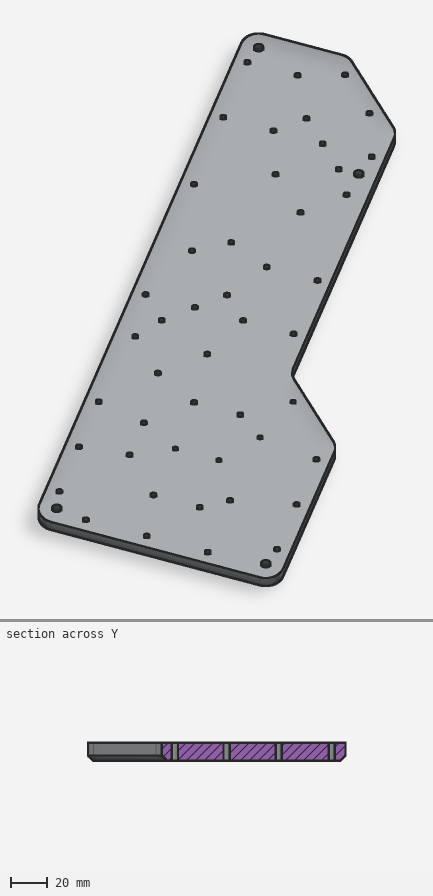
import cadquery as cq

width = 140.0
length = 360.0
thickness = 10.0
narrow_width = 100.0
step_start_y = 100.0
step_run = width - narrow_width
top_corner_cut = 41.7
corner_radius = 10.0
bottom_chamfer = 3.0

mounting_diameter = 5.2
upper_right_mount = (90.0, 284.1)
mounting_centres = [
    (corner_radius, corner_radius),
    (width - corner_radius, corner_radius),
    (corner_radius, length - corner_radius),
    upper_right_mount,
]

fixing_diameter = 3.2
edge_inset = 7.5
bottom_row_xs = (27.5, 62.5, 97.5)
side_pair_ys = (21.6, 54.6, 87.9)
left_only_ys = (167.0, 248.4, 297.75, 338.4)
inner_centres = [
    (60.6, 347.3),
    (36.3, 338.6),
    (81.75, 326.1),
    (50.6, 311.6),
    (36.3, 297.75),
    (64.6, 297.75),
    (92.75, 297.75),
    (78.6, 283.7),
    (47.25, 269.3),
    (88.4, 268.25),
    (68.7, 248.4),
    (39.8, 216.4),
    (63.6, 206.4),
    (92.8, 206.4),
    (21.5, 204.1),
    (49.5, 180.9),
    (35.75, 167.1),
    (63.5, 166.9),
    (92.5, 166.9),
    (21.6, 152.8),
    (52.6, 138.4),
    (11.6, 137.4),
    (31.5, 117.2),
    (56.75, 104.1),
    (83.25, 104.1),
    (35.5, 81.9),
    (35.4, 58.2),
    (97.3, 45.6),
    (56.7, 35.75),
    (83.3, 35.75),
]

small_diameter = 2.7
small_centres = [
    (107.6, 121.9),
    (98.6, 92.6),
    (57.5, 70.25),
    (82.5, 70.25),
]


def make_plate():
    """Plate with rounded corners and a chamfer all round its underside."""
    outline = [
        (0, 0),
        (width, 0),
        (width, step_start_y),
        (narrow_width, step_start_y + step_run),
        (narrow_width, length - top_corner_cut),
        (narrow_width - top_corner_cut, length),
        (0, length),
    ]
    plate = cq.Workplane("XY").polyline(outline).close().extrude(thickness)
    return plate.edges("|Z").fillet(corner_radius).faces("<Z").chamfer(bottom_chamfer)


def fixing_centres():
    """Edge rows plus the inner fixing holes."""
    bottom_row = [(x, edge_inset) for x in bottom_row_xs]
    left_column = [(edge_inset, y) for y in side_pair_ys + left_only_ys]
    right_column = [(width - edge_inset, y) for y in side_pair_ys]
    return bottom_row + left_column + right_column + inner_centres


def drills(centres, diameter):
    """Cylinders through the full plate thickness."""
    return cq.Workplane("XY").pushPoints(centres).circle(diameter / 2).extrude(thickness)


result = make_plate()
result = result.cut(drills(mounting_centres, mounting_diameter))
result = result.cut(drills(fixing_centres(), fixing_diameter))
result = result.cut(drills(small_centres, small_diameter))